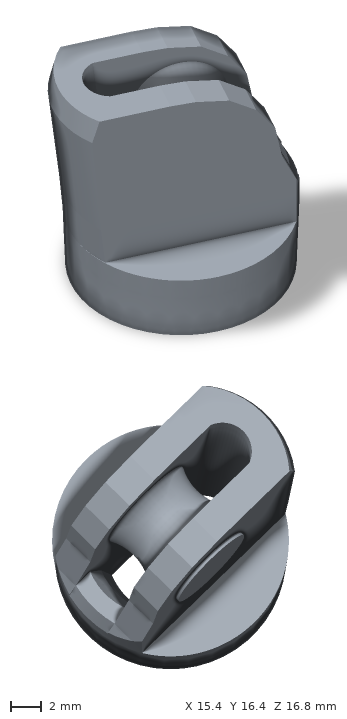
import cadquery as cq

base_radius = 7.68
base_bottom_radius = 7.51
base_height = 4.75
total_height = 16.76

body_width = 7.98
half_width = body_width / 2
web_height = 7.56
chamfer_start_height = 15.08
front_sections = [
    (base_height, base_radius, 6.52),
    (web_height, 7.91, 6.8),
    (chamfer_start_height, 8.75, 7.4),
    (total_height, 8.38, 6.9),
]
back_rim_height = 6.42
cheek_back_edge = [
    (base_radius, back_rim_height),
    (6.89, web_height),
    (5.56, 10.56),
    (5.11, 13.02),
    (3.82, 14.88),
    (1.98, 16.17),
    (-0.3, 16.66),
    (-2.05, total_height),
]
web_rim_radius = 7.09

slot_width = 3.55
slot_half = slot_width / 2
slot_front_top = 6.65
slot_front_bottom = 4.88
slot_front_bulge = 1.22
slot_back_bulge = 0.35
slot_back_bottom = 3.94
slot_back_bend = 4.93
slot_back_web = 5.92

pin_y = 0.47
pin_z = 11.82
pin_radius = 3.0
pin_protrusion = 0.25
roller_rim_radius = 3.39
roller_waist_radius = 2.93


def section_wire(z, half, front_mid, front_side, back_mid, back_side):
    """Closed horizontal outline with straight sides and bowed ends."""
    outline = (
        cq.Workplane("XY", origin=(0, 0, z))
        .moveTo(-half, -front_side)
        .threePointArc((0, -front_mid), (half, -front_side))
        .lineTo(half, back_side)
        .threePointArc((0, back_mid), (-half, back_side))
        .close()
    )
    return outline.val()


def loft_between(wires):
    """Stack of ruled lofts joining each outline to the next."""
    stack = cq.Workplane("XY")
    for lower, upper in zip(wires, wires[1:]):
        stack = stack.add(cq.Solid.makeLoft([lower, upper], True))
    return stack.combine()


def make_base():
    return cq.Workplane("XY").add(
        cq.Solid.makeCone(base_bottom_radius, base_radius, base_height)
    )


def make_fork():
    back_side = (base_radius**2 - half_width**2) ** 0.5
    wires = [
        section_wire(z, half_width, mid, side, base_radius, back_side)
        for z, mid, side in front_sections
    ]
    front_limit = -2 * base_radius
    side_profile = (
        cq.Workplane("YZ")
        .moveTo(front_limit, base_height)
        .lineTo(base_radius, base_height)
    )
    for y, z in cheek_back_edge:
        side_profile = side_profile.lineTo(y, z)
    side_profile = side_profile.lineTo(front_limit, total_height).close()
    return loft_between(wires).intersect(side_profile.extrude(half_width, both=True))


def slot_section(z, back_mid):
    """Slot outline at height z; its front end leans with the fork."""
    front_mid = slot_front_bottom + (slot_front_top - slot_front_bottom) * z / total_height
    return section_wire(
        z, slot_half, front_mid, front_mid - slot_front_bulge, back_mid, back_mid - slot_back_bulge
    )


def make_slot():
    return loft_between([
        slot_section(0, slot_back_bottom),
        slot_section(base_height, slot_back_bend),
        slot_section(web_height, slot_back_web),
        slot_section(total_height, slot_back_web),
    ])


def make_rear_strip():
    """Space between the cheeks behind the axis, from the base to the top."""
    return cq.Workplane("XY", origin=(0, 0, base_height)).box(
        slot_width, base_radius, total_height - base_height, centered=(True, False, False)
    )


def make_web():
    """Low web joining the cheeks at the back, with a conical chamfer on its rim."""
    round_blank = (
        cq.Workplane("XZ")
        .polyline([
            (0, base_height),
            (base_radius, base_height),
            (base_radius, back_rim_height),
            (web_rim_radius, web_height),
            (0, web_height),
        ])
        .close()
        .revolve(360, (0, 0), (0, 1))
    )
    return round_blank.intersect(make_rear_strip())


def make_pin():
    return cq.Workplane("YZ", origin=(-half_width - pin_protrusion, pin_y, pin_z)).circle(
        pin_radius
    ).extrude(body_width + pin_protrusion)


def make_roller():
    roller = (
        cq.Workplane("XY")
        .moveTo(-slot_half, 0)
        .lineTo(-slot_half, roller_rim_radius)
        .threePointArc((0, roller_waist_radius), (slot_half, roller_rim_radius))
        .lineTo(slot_half, 0)
        .close()
        .revolve(360, (0, 0), (1, 0))
    )
    return roller.translate((0, pin_y, pin_z))


roller_gap = cq.Workplane("XY", origin=(0, pin_y, pin_z)).box(
    slot_width, 2 * roller_rim_radius, 2 * roller_rim_radius
)
result = (
    make_base()
    .union(make_fork().cut(make_rear_strip()))
    .union(make_web())
    .cut(make_slot())
    .union(make_pin().cut(roller_gap))
    .union(make_roller())
)